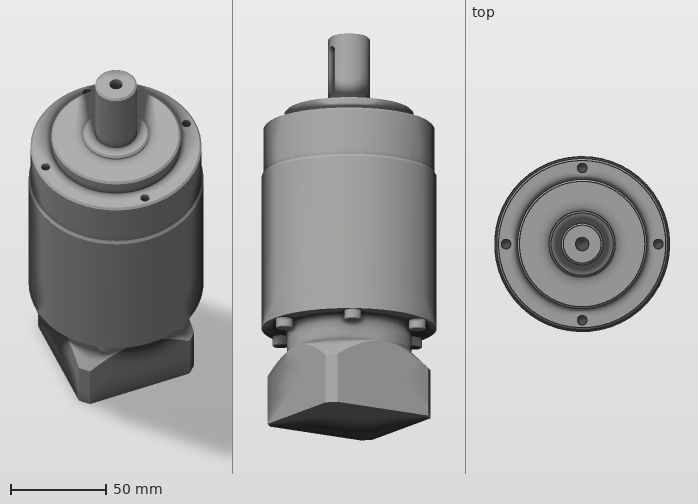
import cadquery as cq
import math

TOTAL_HEIGHT = 207.3
CORNER_TOP_Z = 26.0
NECK_BOTTOM_Z = 36.5
FLANGE_BOTTOM_Z = 50.0
FLANGE_THICKNESS = 10.4
FLANGE_TOP_Z = FLANGE_BOTTOM_Z + FLANGE_THICKNESS
BARREL_TOP_Z = 134.0
HEAD_TOP_Z = 159.0
PILOT_TOP_Z = 167.3
COLLAR_TOP_Z = 169.2

SQUARE_SIDE = 65.5
NECK_RADIUS = SQUARE_SIDE / 2
CORNER_FLAT_HALF = 28.2
CORNER_RADIUS = math.hypot(SQUARE_SIDE / 2, CORNER_FLAT_HALF)
NECK_FILLET = 3.1

SCREW_COUNT = 6
SCREW_CIRCLE_RADIUS = 40.5
SCREW_HEAD_RADIUS = 4.4
SCREW_HEAD_HEIGHT = 5.0
SCREW_EDGE_CHAMFER = 0.5

BARREL_RADIUS = 46.0
HEAD_RADIUS = 45.0
SHOULDER_HEIGHT = 1.7
PILOT_RADIUS = 34.0
COLLAR_RADIUS = 17.5
SHAFT_RADIUS = 11.0
EDGE_CHAMFER = 1.0

FACE_HOLE_COUNT = 4
FACE_HOLE_CIRCLE_RADIUS = 40.0
FACE_HOLE_RADIUS = 2.5
FACE_HOLE_DEPTH = 10.4
SHAFT_HOLE_RADIUS = 3.5
SHAFT_HOLE_DEPTH = 16.5
DRILL_TIP_ANGLE = 118.0

KEYWAY_WIDTH = 6.0
KEYWAY_DEPTH = 3.5
KEYWAY_BOTTOM_Z = 175.4
KEYWAY_TOP_Z = 201.5


def disc(radius, bottom_z, top_z):
    """Vertical cylinder centred on the main axis."""
    return cq.Workplane("XY").workplane(offset=bottom_z).circle(radius).extrude(top_z - bottom_z)


def make_adapter():
    """Square motor adapter with a round neck, bolted flange and screw heads."""
    square = cq.Workplane("XY").rect(SQUARE_SIDE, SQUARE_SIDE).extrude(NECK_BOTTOM_Z)
    turned_envelope = (
        cq.Workplane("XZ")
        .polyline([
            (0, 0),
            (CORNER_RADIUS, 0),
            (CORNER_RADIUS, CORNER_TOP_Z),
            (NECK_RADIUS, NECK_BOTTOM_Z),
            (0, NECK_BOTTOM_Z),
        ])
        .close()
        .revolve(360, (0, 0, 0), (0, 1, 0))
    )
    foot = square.intersect(turned_envelope)

    flare_middle = NECK_FILLET * (1 - math.sqrt(0.5))
    neck_and_flange = (
        cq.Workplane("XZ")
        .moveTo(0, NECK_BOTTOM_Z)
        .lineTo(NECK_RADIUS, NECK_BOTTOM_Z)
        .lineTo(NECK_RADIUS, FLANGE_BOTTOM_Z - NECK_FILLET)
        .threePointArc(
            (NECK_RADIUS + flare_middle, FLANGE_BOTTOM_Z - flare_middle),
            (NECK_RADIUS + NECK_FILLET, FLANGE_BOTTOM_Z),
        )
        .lineTo(BARREL_RADIUS, FLANGE_BOTTOM_Z)
        .lineTo(BARREL_RADIUS, FLANGE_TOP_Z)
        .lineTo(0, FLANGE_TOP_Z)
        .close()
        .revolve(360, (0, 0, 0), (0, 1, 0))
    )

    screw_heads = (
        cq.Workplane("XY")
        .workplane(offset=FLANGE_BOTTOM_Z - SCREW_HEAD_HEIGHT)
        .polarArray(SCREW_CIRCLE_RADIUS, 90, 360, SCREW_COUNT)
        .circle(SCREW_HEAD_RADIUS)
        .extrude(SCREW_HEAD_HEIGHT)
        .faces("<Z")
        .chamfer(SCREW_EDGE_CHAMFER)
    )
    return foot.union(neck_and_flange).union(screw_heads)


def make_keyway_cutter():
    """Round-ended slot cut radially into the +Y side of the shaft."""
    length = KEYWAY_TOP_Z - KEYWAY_BOTTOM_Z
    middle_z = (KEYWAY_TOP_Z + KEYWAY_BOTTOM_Z) / 2
    return (
        cq.Workplane("XZ", origin=(0, SHAFT_RADIUS, middle_z))
        .slot2D(length, KEYWAY_WIDTH, 90)
        .extrude(KEYWAY_DEPTH)
    )


def drilled_hole(radius, depth, top_z):
    """Cutter for a vertical blind hole on the main axis, with a conical drill tip."""
    tip_height = radius / math.tan(math.radians(DRILL_TIP_ANGLE / 2))
    return (
        cq.Workplane("XZ")
        .polyline([
            (0, top_z),
            (radius, top_z),
            (radius, top_z - depth),
            (0, top_z - depth - tip_height),
        ])
        .close()
        .revolve(360, (0, 0, 0), (0, 1, 0))
    )


def make_gearbox():
    """Gearbox barrel with its head, centring pilot, collar and output shaft."""
    barrel = disc(BARREL_RADIUS, FLANGE_TOP_Z, BARREL_TOP_Z - SHOULDER_HEIGHT)
    shoulder = cq.Workplane(
        cq.Solid.makeCone(
            BARREL_RADIUS,
            HEAD_RADIUS,
            SHOULDER_HEIGHT,
            pnt=cq.Vector(0, 0, BARREL_TOP_Z - SHOULDER_HEIGHT),
        )
    )
    head = disc(HEAD_RADIUS, BARREL_TOP_Z, HEAD_TOP_Z).faces(">Z").chamfer(EDGE_CHAMFER)
    pilot = disc(PILOT_RADIUS, HEAD_TOP_Z, PILOT_TOP_Z).faces(">Z").chamfer(EDGE_CHAMFER)
    collar = disc(COLLAR_RADIUS, PILOT_TOP_Z, COLLAR_TOP_Z).faces(">Z").chamfer(EDGE_CHAMFER)
    shaft = disc(SHAFT_RADIUS, COLLAR_TOP_Z, TOTAL_HEIGHT).faces(">Z").chamfer(EDGE_CHAMFER)
    body = barrel.union(shoulder).union(head).union(pilot).union(collar).union(shaft)

    body = body.cut(drilled_hole(SHAFT_HOLE_RADIUS, SHAFT_HOLE_DEPTH, TOTAL_HEIGHT))
    for index in range(FACE_HOLE_COUNT):
        angle = 2 * math.pi * index / FACE_HOLE_COUNT
        x = FACE_HOLE_CIRCLE_RADIUS * math.cos(angle)
        y = FACE_HOLE_CIRCLE_RADIUS * math.sin(angle)
        hole = drilled_hole(FACE_HOLE_RADIUS, FACE_HOLE_DEPTH, HEAD_TOP_Z)
        body = body.cut(hole.translate((x, y, 0)))
    return body.cut(make_keyway_cutter())


adapter = make_adapter()
gearbox = make_gearbox()
result = cq.Compound.makeCompound([adapter.solids().val(), gearbox.solids().val()])